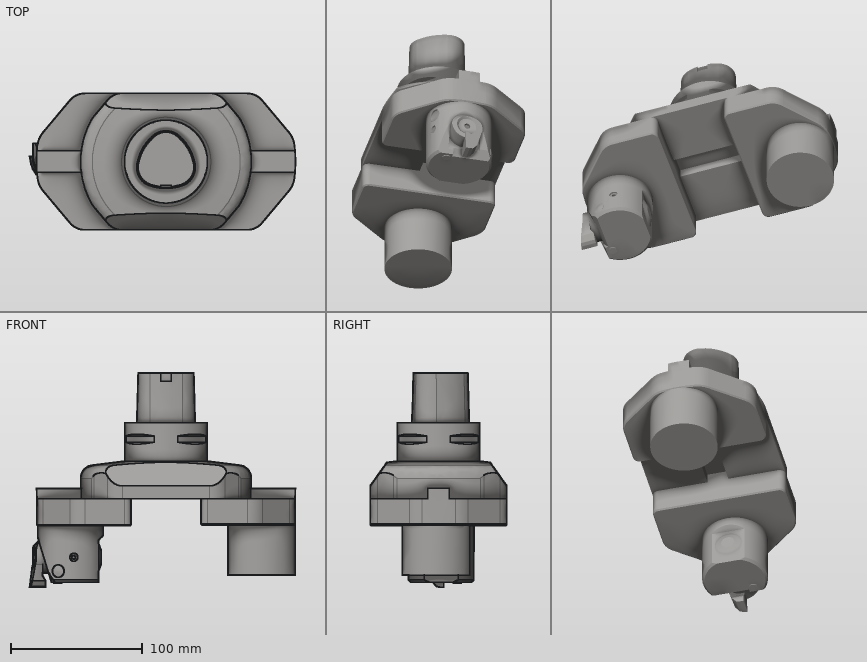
import cadquery as cq
import math


half_width = 52.0
flank_angle = 50
shoulder_radius = 15.0
nose_radius = 18.2

housing_radius = 65.0
housing_flank_x = 40.0
housing_top = 28.5
crown_flat_radius = 34.0
crown_rim_z = 24.7
crown_round = 10.0
bevel_start_z = 10.0
bevel_angle = 54.5

collar_radius = 31.5
collar_top = 58.0
grip_z = 45.5
grip_floor = 27.7
grip_floor_height = 4.7
grip_mouth_height = 7.7
grip_count = 4

shank_top = 95.8
lobe_reach = 23.5
flat_reach = 20.5
lobe_radius = 14.8
shank_taper = 1.6
notch_width = 8.0
notch_depth = 1.5
notch_height = 6.3

slide_inner_x = 26.5
slide_end_radius = 98.5
slide_flank_x = 68.5
cartridge_slide_thickness = 20.5
weight_slide_thickness = 19.8
slide_corner_radius = 5.0
slide_chamfer = 1.0
key_width = 16.4
key_height = 8.0

tool_x = 72.5
tool_y = 2.0
weight_radius = 25.7
weight_bottom = -57.8

cartridge_radius = 50.0 / 2
cartridge_bottom = -63.3
cartridge_chamfer = 1.8
face_start_z = -29.0
face_angle = 17
rear_flat_x = -51.2
rear_flat_z = -31.1
relief_angle = 35
relief_start_z = -56.6
relief_side_y = 10.1
dial_radius = 10.5
dial_tip_radius = 5.0
dial_height = 2.0

cutter_z = -44.3
cutter_radius = 24.0 / 2
cutter_front_x = -101.0
cutter_back_x = -93.8
cutter_tip_x = -103.7
cutter_tip_z = -67.1
cutter_heel_x = -91.4
cutter_yaw = 10
finger_edge_y = 4.0
finger_top_y = -9.7
finger_top_z = -46.3
finger_step_y = -5.3
finger_step_z = -62.0
finger_corner_y = -1.8
finger_corner_z = -66.3
tip_end_y = 0.8
cutter_back_end_z = -58.0
spigot_end_x = -88.2
head_cone_drop = 3.6
head_cone_radius = 11.7
screw_head_radius = 13.5 / 2
screw_face_x = -99.5
screw_head_height = 3.6
screw_shank_radius = 3.0
screw_end_x = -76.8
screw_socket_radius = 4.7 / 2
screw_socket_depth = 2.0
sink_flare = 1.6

set_screw_x = -70.0
set_screw_diameter = 6.0
set_screw_socket = 2.8
nozzle_radius = 9.5 / 2
nozzle_azimuth = 248
nozzle_z = -54.8
nozzle_rise = 0.8
upper_hole_diameter = 10.1
upper_hole_azimuth = 118
upper_hole_z = -27.7
lower_hole_diameter = 6.3
lower_hole_azimuth = 115
lower_hole_z = -39.8
stud_diameter = 6.0
stud_x = -82.0
stud_y = 14.2
stud_rise = 0.6
fitting_depth = 1.2

OVER = 2.0
TOLERANCE = 0.02


def plan_outline(flank_x):
    """Hexagon in plan with long sides along X and flanks running to points on the X axis."""
    point_x = flank_x + half_width / math.tan(math.radians(flank_angle))
    return [
        (flank_x, half_width), (point_x, 0), (flank_x, -half_width),
        (-flank_x, -half_width), (-point_x, 0), (-flank_x, half_width),
    ]


def flanked_block(flank_x, end_radius, bottom, top):
    """Plan hexagon with its ends trimmed by a cylinder and its vertical edges rounded."""
    base = cq.Workplane(origin=(0, 0, bottom))
    block = base.polyline(plan_outline(flank_x)).close().extrude(top - bottom)
    shoulders = block.edges("|Z").filter(lambda edge: abs(edge.Center().y) > half_width / 2)
    block = shoulders.fillet(shoulder_radius)
    ends = base.circle(end_radius).extrude(top - bottom).rotate((0, 0, 0), (0, 0, 1), 90)
    block = block.intersect(ends)
    noses = block.edges("|Z").filter(
        lambda edge: abs(math.hypot(edge.Center().x, edge.Center().y) - end_radius) < TOLERANCE)
    return noses.fillet(nose_radius)


def crown():
    """Turned envelope of the housing: flat, shallow cone and rounded rim."""
    profile = [
        (0, 0), (housing_radius, 0), (housing_radius, crown_rim_z),
        (crown_flat_radius, housing_top), (0, housing_top),
    ]
    turned = cq.Workplane("XZ").polyline(profile).close().revolve(360, (0, 0), (0, 1))
    rim = turned.edges(cq.selectors.RadiusNthSelector(-1)).edges(">Z")
    return rim.fillet(crown_round)


def bevel_envelope():
    """Roof-shaped envelope that bevels both long sides."""
    rise = housing_top + OVER - bevel_start_z
    ridge_y = half_width - rise / math.tan(math.radians(bevel_angle))
    profile = [
        (-half_width, 0), (half_width, 0), (half_width, bevel_start_z),
        (ridge_y, bevel_start_z + rise), (-ridge_y, bevel_start_z + rise), (-half_width, bevel_start_z),
    ]
    return cq.Workplane("YZ").polyline(profile).close().extrude(housing_radius, both=True)


def grip_slot(angle):
    """Straight slot across the collar with slanted upper and lower walls."""
    mouth_x = collar_radius
    slope = (grip_mouth_height - grip_floor_height) / 2 / (mouth_x - grip_floor)
    outer_x = mouth_x + OVER
    outer_half = grip_mouth_height / 2 + slope * OVER
    profile = [
        (grip_floor, -grip_floor_height / 2), (outer_x, -outer_half),
        (outer_x, outer_half), (grip_floor, grip_floor_height / 2),
    ]
    slot = cq.Workplane("XZ").polyline(profile).close().extrude(collar_radius, both=True)
    return slot.translate((0, 0, grip_z)).rotate((0, 0, 0), (0, 0, 1), angle)


def polar(radius, angle, center=(0, 0)):
    turn = math.radians(angle)
    return (center[0] + radius * math.cos(turn), center[1] + radius * math.sin(turn))


def taper_shank():
    """Three-lobed taper: six tangent arcs, lobes at 90, 210 and 330 degrees."""
    lobe_center = lobe_reach - lobe_radius
    spare = flat_reach - lobe_radius
    flat_center = (lobe_center**2 - spare**2) / (2 * spare - lobe_center)
    run = lobe_center * math.sin(math.radians(60))
    drop = flat_center + lobe_center * math.cos(math.radians(60))
    joint_angle = 60 - math.degrees(math.atan2(run, drop))

    def joint(lobe_angle, side):
        return polar(lobe_radius, lobe_angle + side * joint_angle, polar(lobe_center, lobe_angle))

    outline = cq.Workplane().workplane(offset=collar_top).moveTo(*joint(90, -1))
    for lobe_angle in (90, 210, 330):
        outline = outline.threePointArc(polar(lobe_reach, lobe_angle), joint(lobe_angle, 1))
        outline = outline.threePointArc(polar(flat_reach, lobe_angle + 60), joint(lobe_angle + 120, -1))
    shank = outline.close().extrude(shank_top - collar_top, taper=shank_taper)
    shrink = (shank_top - collar_top) * math.tan(math.radians(shank_taper))
    notch_floor_y = -(flat_reach - shrink - notch_depth)
    notch = cq.Workplane().box(notch_width, 2 * OVER + notch_depth, notch_height, centered=(True, False, False))
    notch = notch.translate((0, notch_floor_y - 2 * OVER - notch_depth, shank_top - notch_height))
    return shank.cut(notch)


def make_housing():
    body = flanked_block(housing_flank_x, housing_radius, 0, housing_top)
    body = body.intersect(crown()).intersect(bevel_envelope())
    collar = cq.Workplane().workplane(offset=housing_top).circle(collar_radius).extrude(collar_top - housing_top)
    for index in range(grip_count):
        collar = collar.cut(grip_slot(45 + index * 360 / grip_count))
    keyway = cq.Workplane().box(3 * housing_radius, key_width, key_height, centered=(True, True, False))
    return body.cut(keyway).union(collar).union(taper_shank())


def make_slide(side, thickness):
    """One slide with the key on top of it; side is -1 for the cartridge end, +1 for the other."""
    plate = flanked_block(slide_flank_x, slide_end_radius, -thickness, 0)
    outer_half = cq.Workplane().box(slide_end_radius, 2 * half_width, thickness, centered=(False, True, False))
    plate = plate.intersect(outer_half.translate((slide_inner_x, 0, -thickness)))
    plate = plate.edges("|Z and <X").fillet(slide_corner_radius)
    plate = plate.faces("<Z").chamfer(slide_chamfer)
    key = cq.Workplane().box(slide_end_radius, key_width, key_height, centered=(False, True, False))
    key = key.translate((slide_inner_x, 0, 0))
    key = key.intersect(cq.Workplane().circle(slide_end_radius).extrude(key_height))
    slide = plate.union(key)
    return slide if side > 0 else slide.rotate((0, 0, 0), (0, 0, 1), 180)


def make_counterweight():
    base = cq.Workplane(origin=(tool_x, -tool_y, -weight_slide_thickness))
    return base.circle(weight_radius).extrude(weight_bottom + weight_slide_thickness)


def face_x(z):
    """X of the slanted cartridge face at a given height."""
    return -tool_x - cartridge_radius + (face_start_z - z) * math.tan(math.radians(face_angle))


def along_x(radius, start_x, end_x):
    """Cylinder on the common axis of the cutter and its screw."""
    circle = cq.Workplane("YZ", origin=(start_x, tool_y, cutter_z)).circle(radius)
    return circle.extrude(end_x - start_x)


def radial_bore(diameter, azimuth, z, depth=fitting_depth):
    """Blind bore square to the cartridge wall."""
    direction = cq.Vector(*polar(1, azimuth), 0)
    center = cq.Vector(-tool_x, tool_y, z)
    start = center + direction * (cartridge_radius + OVER)
    return cq.Workplane(cq.Solid.makeCylinder(diameter / 2, depth + OVER, start, direction * -1))


def cartridge_front():
    """Material removed ahead of the slanted face and by the relief below the cutter."""
    low = cartridge_bottom - OVER
    outside_x = -tool_x - 2 * cartridge_radius
    wedge = [(face_x(face_start_z + OVER), face_start_z + OVER), (face_x(low), low), (outside_x, low)]
    front = cq.Workplane("XZ", origin=(0, tool_y, 0)).polyline(wedge).close()
    front = front.extrude(2 * cartridge_radius, both=True)
    relief_x = face_x(relief_start_z)
    relief_end_x = relief_x + (relief_start_z - low) * math.tan(math.radians(relief_angle))
    relief = [(relief_x, relief_start_z), (relief_end_x, low), (relief_x, low)]
    under = cq.Workplane("XZ", origin=(0, relief_side_y, 0)).polyline(relief).close()
    return front.union(under.extrude(2 * cartridge_radius))


def cutter_seat():
    """Round-topped slot in the slanted face, as wide as the cutter."""
    length = spigot_end_x - cutter_front_x
    slot = cq.Workplane().box(length, 2 * cutter_radius, cutter_z - cartridge_bottom, centered=(False, True, False))
    slot = slot.translate((cutter_front_x, tool_y, cartridge_bottom))
    return slot.union(along_x(cutter_radius, cutter_front_x, spigot_end_x))


def rear_flat():
    """Flat on the inner side of the cartridge with a 45 degree run-out at its top."""
    far_x = -tool_x + cartridge_radius + OVER
    low = cartridge_bottom - OVER
    profile = [
        (rear_flat_x, low), (far_x, low),
        (far_x, rear_flat_z + far_x - rear_flat_x), (rear_flat_x, rear_flat_z),
    ]
    section = cq.Workplane("XZ", origin=(0, tool_y, 0)).polyline(profile).close()
    return section.extrude(2 * cartridge_radius, both=True)


def nozzle():
    """Round plug level with the cartridge wall, ending in a shallow cone."""
    direction = cq.Vector(*polar(1, nozzle_azimuth), 0)
    wall = cq.Vector(*polar(cartridge_radius, nozzle_azimuth, (-tool_x, tool_y)), nozzle_z)
    plug = cq.Workplane(cq.Solid.makeCylinder(nozzle_radius, nozzle_radius, wall, direction * -1))
    return plug.union(cq.Workplane(cq.Solid.makeCone(nozzle_radius, 0, nozzle_rise, wall, direction)))


def make_cartridge():
    base = cq.Workplane(origin=(-tool_x, tool_y, -cartridge_slide_thickness))
    body = base.circle(cartridge_radius).extrude(cartridge_bottom + cartridge_slide_thickness)
    body = body.faces("<Z").chamfer(cartridge_chamfer)
    body = body.cut(cartridge_front()).cut(cutter_seat()).cut(rear_flat())
    body = body.cut(along_x(screw_shank_radius, spigot_end_x, screw_end_x))
    dial = cq.Workplane(cq.Solid.makeCone(
        dial_radius, dial_tip_radius, dial_height,
        cq.Vector(rear_flat_x, tool_y, cutter_z), cq.Vector(1, 0, 0)))
    body = body.union(dial)
    set_screw_azimuth = 270 + math.degrees(math.asin((set_screw_x + tool_x) / cartridge_radius))
    body = body.cut(radial_bore(set_screw_diameter, set_screw_azimuth, cutter_z))
    body = body.cut(radial_bore(set_screw_socket, set_screw_azimuth, cutter_z, 2 * fitting_depth))
    body = body.cut(radial_bore(upper_hole_diameter, upper_hole_azimuth, upper_hole_z))
    body = body.cut(radial_bore(lower_hole_diameter, lower_hole_azimuth, lower_hole_z))
    body = body.union(nozzle())
    stud = cq.Workplane(origin=(stud_x, stud_y, cartridge_bottom))
    stud = stud.circle(stud_diameter / 2).extrude(-stud_rise)
    return body.union(stud)


def cutter_front_clearance():
    """Space ahead of the cutter: its front leans back upwards and away from the cutting edge."""
    outside_x = cutter_tip_x - cutter_radius
    head_top_z = cutter_z + cutter_radius
    profile = [
        (cutter_tip_x, cutter_tip_z), (cutter_front_x, finger_top_z),
        (cutter_front_x, head_top_z), (outside_x, head_top_z), (outside_x, cutter_tip_z),
    ]
    space = cq.Workplane("XZ").polyline(profile).close().extrude(half_width, both=True)
    pivot = (cutter_tip_x, finger_edge_y)
    return space.rotate((*pivot, cutter_tip_z), (*pivot, head_top_z), cutter_yaw)


def make_cutter():
    """Round head with a tapering finger below it and a spigot behind it."""
    finger = [
        (finger_edge_y, cutter_z), (finger_edge_y, cutter_tip_z), (tip_end_y, cutter_tip_z),
        (finger_corner_y, finger_corner_z), (finger_step_y, finger_step_z),
        (finger_top_y, finger_top_z), (finger_top_y, cutter_z),
    ]
    length = cutter_heel_x - cutter_tip_x
    blade = cq.Workplane("YZ", origin=(cutter_tip_x, 0, 0)).polyline(finger).close().extrude(length)
    side = [
        (cutter_tip_x, cutter_z), (cutter_tip_x, cutter_tip_z), (cutter_heel_x, cutter_tip_z),
        (cutter_heel_x, finger_step_z), (cutter_back_x, cutter_back_end_z), (cutter_back_x, cutter_z),
    ]
    blade = blade.intersect(cq.Workplane("XZ").polyline(side).close().extrude(half_width, both=True))
    head = along_x(cutter_radius, cutter_front_x, spigot_end_x)
    head_length = spigot_end_x - cutter_front_x
    head = head.intersect(cq.Workplane(cq.Solid.makeCone(
        head_cone_radius, head_cone_radius + head_length, head_length,
        cq.Vector(cutter_front_x, tool_y, cutter_z - head_cone_drop), cq.Vector(1, 0, 0))))
    sink = along_x(screw_head_radius, cutter_front_x - 2 * OVER, screw_face_x + screw_head_height)
    flare = cq.Workplane(cq.Solid.makeCone(
        screw_head_radius + sink_flare, screw_head_radius, screw_face_x - cutter_front_x,
        cq.Vector(cutter_front_x, tool_y, cutter_z), cq.Vector(1, 0, 0)))
    clearance = along_x(screw_shank_radius, screw_face_x, spigot_end_x)
    body = head.union(blade).cut(cutter_front_clearance())
    return body.cut(sink).cut(flare).cut(clearance)


def make_screw():
    head_end_x = screw_face_x + screw_head_height
    screw = along_x(screw_head_radius, screw_face_x, head_end_x)
    screw = screw.union(along_x(screw_shank_radius, head_end_x, screw_end_x))
    return screw.cut(along_x(screw_socket_radius, screw_face_x, screw_face_x + screw_socket_depth))


housing = make_housing()
slides = [
    make_slide(side, thickness)
    for side, thickness in ((-1, cartridge_slide_thickness), (1, weight_slide_thickness))
]
counterweight = make_counterweight()
cartridge = make_cartridge()
cutter = make_cutter()
screw = make_screw()

result = cq.Compound.makeCompound([
    housing.val(),
    *[slide.val() for slide in slides],
    counterweight.val(),
    cartridge.val(),
    cutter.val(),
    screw.val(),
])